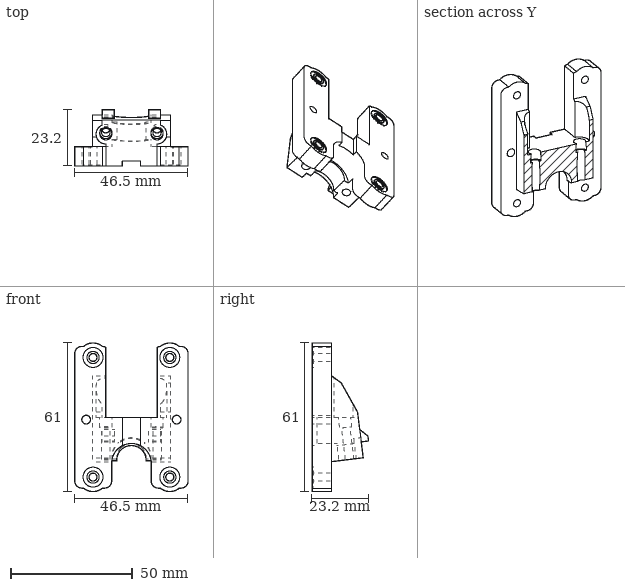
import cadquery as cq
import math

width = 46.5
height = 61.0
plate_depth = 8.0
corner_radius = 3.0

lobe_radius = 6.0
lobe_rise = 1.4
mount_x = 15.75
mount_spots = [(x, z) for x in (-mount_x, mount_x) for z in (lobe_radius, height - lobe_radius)]

mount_hole_diameter = 3.2
mount_boss_diameter = 5.0
mount_recess_diameter = 8.2
mount_recess_depth = 0.5

side_hole_diameter = 3.5
side_hole_x = 18.55
side_hole_z = 29.5

slot_half = 10.5
rear_slot_half = 12.0
slot_floor_z = 30.4
upper_leg_inner_x = 9.1

leg_gap_half = 8.05
arch_radius = 8.1
arch_center_z = 11.65

groove_half = 3.7
groove_depth = 2.0

tilt = math.radians(7.0)
block_half = 16.05
block_bottom_z = 12.25
heel_y = 21.0
knee_y, knee_z = 18.65, 32.55
shoulder_y, shoulder_z = 11.95, 44.6
block_top_z = 47.45
heel_z = block_bottom_z + (heel_y - plate_depth) * math.tan(tilt)

bore_radius = 6.0
bore_lift = 0.3
bore_seat_radius = 8.05
bore_seat_depth = 3.0
lip_y = 11.0

screw_y = 13.25
screw_diameter = 3.5
counterbore_diameter = 5.0
counterbore_depth = 4.15
head_clearance_y = 13.05
head_clearance_diameter = 8.0

hook_inner_x = 7.0
hook_root_y = 18.3
hook_profile = [(hook_root_y, 25.4), (19.65, 25.4), (22.9, 22.75), (23.2, 20.75), (20.2, 20.35), (hook_root_y, 20.35)]

reach = 73.2
along_y = (0, 1, 0)
up = (0, 0, 1)
bore_axis = (0, math.cos(tilt), math.sin(tilt))
screw_axis = (0, math.sin(tilt), -math.cos(tilt))


def box(x_half, y0, y1, z0, z1):
    """Box centred on x = 0."""
    solid = cq.Workplane("XY").box(2 * x_half, y1 - y0, z1 - z0, centered=(True, False, False))
    return solid.translate((0, y0, z0))


def cylinder(radius, start, axis, length):
    solid = cq.Solid.makeCylinder(radius, length, cq.Vector(*start), cq.Vector(*axis))
    return cq.Workplane(solid)


def point_along(start, axis, distance):
    return tuple(p + distance * a for p, a in zip(start, axis))


def side_prism(outline, x0, x1):
    """Extrude a (y, z) outline along X."""
    return cq.Workplane("YZ").polyline(outline).close().extrude(x1 - x0).translate((x0, 0, 0))


def plate():
    body = box(width / 2, 0, plate_depth, lobe_rise, height - lobe_rise)
    body = body.cut(box(leg_gap_half, 0, plate_depth, 0, arch_center_z))
    body = body.cut(box(upper_leg_inner_x, 0, plate_depth, slot_floor_z, height))
    body = body.edges("|Y").edges("<Z or >Z").fillet(corner_radius)
    for x, z in mount_spots:
        body = body.union(cylinder(lobe_radius, (x, 0, z), along_y, plate_depth))
    return body


def rear_block():
    outline = [
        (plate_depth, block_bottom_z),
        (heel_y, heel_z),
        (knee_y, knee_z),
        (shoulder_y, shoulder_z),
        (plate_depth, block_top_z),
    ]
    return side_prism(outline, -block_half, block_half)


def hooks():
    right = side_prism(hook_profile, hook_inner_x, rear_slot_half)
    return right.union(right.mirror("YZ"))


def upper_slot():
    narrow = box(slot_half, 0, reach, slot_floor_z, reach)
    wide = box(rear_slot_half, head_clearance_y, reach, slot_floor_z, reach)
    return narrow.union(wide)


def arch():
    """Round-topped opening that runs into the block as far as the leaning lip face."""
    lean = math.tan(tilt)
    lip_z = block_bottom_z + (lip_y - plate_depth) * lean
    foot_y = lip_y + lip_z * lean
    top_y = lip_y - (height - lip_z) * lean
    front_zone = side_prism(
        [(0, 0), (foot_y, 0), (top_y, height), (0, height)],
        -leg_gap_half,
        leg_gap_half,
    )
    return cylinder(arch_radius, (0, 0, arch_center_z), along_y, reach).intersect(front_zone)


def rear_bore():
    """Tilted bore with a wider seat cut in from the back face."""
    front_center = point_along((0, plate_depth, block_bottom_z), up, bore_lift)
    back_center = point_along((0, heel_y, heel_z), up, bore_lift)
    seat_start = point_along(back_center, bore_axis, -bore_seat_depth)
    bore = cylinder(bore_radius, front_center, bore_axis, reach)
    return bore.union(cylinder(bore_seat_radius, seat_start, bore_axis, reach))


def screw_hole(x):
    """Tilted counterbored hole, with upright room for the screw head above the slot floor."""
    mouth = (x, screw_y, slot_floor_z)
    lead = counterbore_diameter / 2
    start = point_along(mouth, screw_axis, -lead)
    hole = cylinder(screw_diameter / 2, start, screw_axis, reach)
    counterbore = cylinder(counterbore_diameter / 2, start, screw_axis, lead + counterbore_depth)
    clearance = cylinder(head_clearance_diameter / 2, (x, head_clearance_y, slot_floor_z), up, reach)
    return hole.union(counterbore).union(clearance)


def mount_hole(x, z):
    front = (x, 0, z)
    recess = cylinder(mount_recess_diameter / 2, front, along_y, mount_recess_depth)
    recess = recess.cut(cylinder(mount_boss_diameter / 2, front, along_y, mount_recess_depth))
    return recess.union(cylinder(mount_hole_diameter / 2, front, along_y, reach))


result = plate().union(rear_block()).union(hooks())
result = result.cut(upper_slot()).cut(arch()).cut(rear_bore())
result = result.cut(box(groove_half, 0, groove_depth, 0, height))
for x in (-slot_half, slot_half):
    result = result.cut(screw_hole(x))
for x in (-side_hole_x, side_hole_x):
    result = result.cut(cylinder(side_hole_diameter / 2, (x, 0, side_hole_z), along_y, reach))
for x, z in mount_spots:
    result = result.cut(mount_hole(x, z))